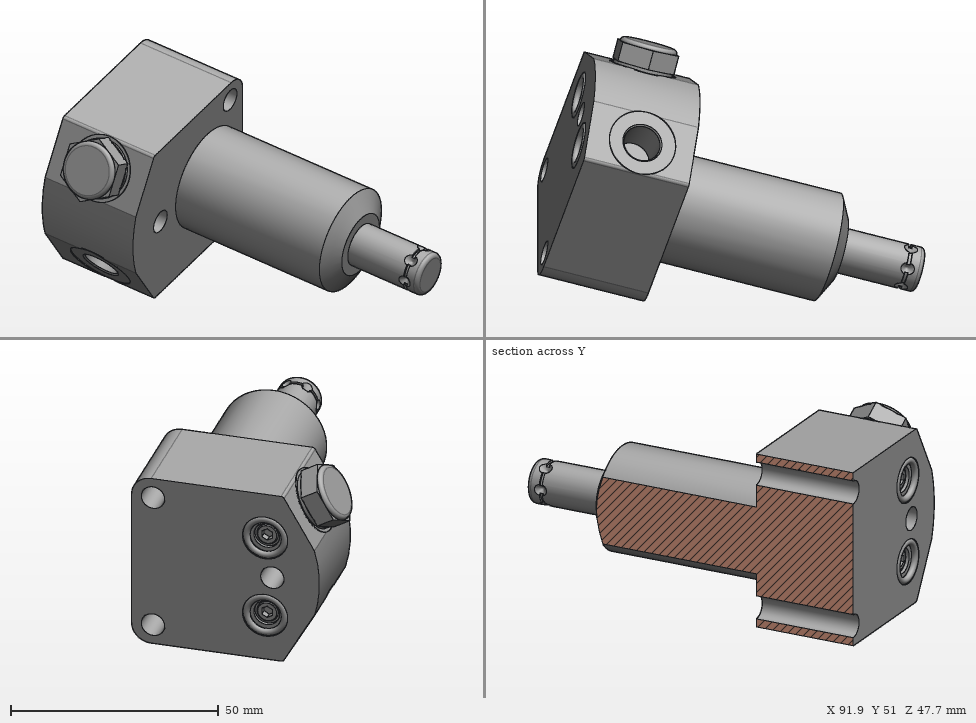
import cadquery as cq
import math


BLOCK_LENGTH = 26.5
BLOCK_HALF_HEIGHT = 22.5
BLOCK_BACK_Y = 15.5
NOSE_RADIUS = 31.8
SLANT_ANGLE = 30.0
SLANT_DISTANCE = 30.9
CORNER_RADIUS = 5.0
SLANT_EDGE_RADIUS = 0.9

HOLE_RADIUS = 2.9
CORNER_HOLE_Y = 10.1
CORNER_HOLE_Z = 17.4
NOSE_HOLE_Y = -19.9

SEAL_Y = -18.1
SEAL_Z = 10.6
SEAL_POCKET_RADIUS = 5.7
SEAL_POCKET_DEPTH = 1.4
RING_SECTION_RADIUS = 0.87
RING_RADIUS = SEAL_POCKET_RADIUS - RING_SECTION_RADIUS
RING_PROUD = 0.3
SCREW_BORE_RADIUS = 3.2
SCREW_BORE_DEPTH = 0.9
SCREW_RADIUS = 2.7
SCREW_TOP_RADIUS = 2.4
SCREW_HEIGHT = 0.5
SCREW_SOCKET_FLATS = 2.7
SCREW_SOCKET_DEPTH = 1.8

PORT_X = 13.5
SPOT_FACE_RADIUS = 8.3
SPOT_FACE_DEPTH = 0.3
BORE_RADIUS = 4.5
BORE_MOUTH_RADIUS = 4.9
BORE_DEPTH = 10.75

PLUG_NECK_RADIUS = 7.35
PLUG_NECK_HEIGHT = 0.6
PLUG_FLATS = 14.15
PLUG_HEX_TOP = 5.3
PLUG_TOP = 6.4
PLUG_CROWN_RADIUS = PLUG_FLATS / 2
PLUG_CROWN_FILLET = 1.0

BODY_RADIUS = 13.4
BODY_END_X = 68.4
CONE_END_X = 71.3
CONE_END_RADIUS = 8.1
TUBE_RADIUS = 5.5
TUBE_END_X = 91.9 - RING_PROUD
TUBE_FILLET = 1.1

GROOVE_X = 87.8
GROOVE_WIDTH = 0.8
GROOVE_DEPTH = 0.55
DIMPLE_COUNT = 6
DIMPLE_RADIUS = 1.65
DIMPLE_DEPTH = 1.65


def port_plane(side):
    """Plane on a port face, normal outwards; side is +1 for the upper face and -1 for the lower."""
    angle = math.radians(SLANT_ANGLE)
    normal = (0, -math.cos(angle), side * math.sin(angle))
    origin = (PORT_X, SLANT_DISTANCE * normal[1], SLANT_DISTANCE * normal[2])
    return cq.Plane(origin=origin, xDir=(1, 0, 0), normal=normal)


def cylinder_x(radius, start, end, y=0.0, z=0.0):
    return cq.Workplane("YZ", origin=(start, y, z)).circle(radius).extrude(end - start)


def make_block():
    angle = math.radians(SLANT_ANGLE)
    slant_top_y = (BLOCK_HALF_HEIGHT * math.sin(angle) - SLANT_DISTANCE) / math.cos(angle)
    nose_angle = angle - math.acos(SLANT_DISTANCE / NOSE_RADIUS)
    nose_y = -NOSE_RADIUS * math.cos(nose_angle)
    nose_z = NOSE_RADIUS * math.sin(nose_angle)
    block = (
        cq.Workplane("YZ")
        .moveTo(BLOCK_BACK_Y, -BLOCK_HALF_HEIGHT)
        .lineTo(BLOCK_BACK_Y, BLOCK_HALF_HEIGHT)
        .lineTo(slant_top_y, BLOCK_HALF_HEIGHT)
        .lineTo(nose_y, nose_z)
        .threePointArc((-NOSE_RADIUS, 0), (nose_y, -nose_z))
        .lineTo(slant_top_y, -BLOCK_HALF_HEIGHT)
        .close()
        .extrude(BLOCK_LENGTH)
    )
    block = block.edges("|X and >Y").fillet(CORNER_RADIUS)
    for side in (1, -1):
        slant_edge = cq.selectors.NearestToPointSelector(
            (BLOCK_LENGTH / 2, slant_top_y, side * BLOCK_HALF_HEIGHT)
        )
        block = block.edges(slant_edge).fillet(SLANT_EDGE_RADIUS)
    return block


def make_body():
    """Round body, its end cone and the tube with groove, as one turned shape."""
    groove_start = GROOVE_X - GROOVE_WIDTH / 2
    groove_end = GROOVE_X + GROOVE_WIDTH / 2
    groove_radius = TUBE_RADIUS - GROOVE_DEPTH
    profile = [
        (BLOCK_LENGTH, 0),
        (BLOCK_LENGTH, BODY_RADIUS),
        (BODY_END_X, BODY_RADIUS),
        (CONE_END_X, CONE_END_RADIUS),
        (CONE_END_X, TUBE_RADIUS),
        (groove_start, TUBE_RADIUS),
        (groove_start, groove_radius),
        (groove_end, groove_radius),
        (groove_end, TUBE_RADIUS),
        (TUBE_END_X, TUBE_RADIUS),
        (TUBE_END_X, 0),
    ]
    turned = cq.Workplane("XY").polyline(profile).close().revolve(360, (0, 0, 0), (1, 0, 0))
    return turned.faces(">X").edges().fillet(TUBE_FILLET)


def make_dimple(angle):
    """Cone pointing at the tube axis, turned about it by an angle in degrees from -Y."""
    cone = cq.Solid.makeCone(
        DIMPLE_RADIUS,
        0,
        DIMPLE_DEPTH,
        pnt=cq.Vector(GROOVE_X, -TUBE_RADIUS, 0),
        dir=cq.Vector(0, 1, 0),
    )
    return cq.Workplane(cone).rotate((0, 0, 0), (1, 0, 0), angle)


def make_port_bore():
    """Blind bore with a chamfered mouth, sunk from the spot face of the lower port."""
    mouth_depth = SPOT_FACE_DEPTH + BORE_MOUTH_RADIUS - BORE_RADIUS
    floor_depth = SPOT_FACE_DEPTH + BORE_DEPTH
    half_profile = [
        (0, -SPOT_FACE_DEPTH),
        (BORE_MOUTH_RADIUS, -SPOT_FACE_DEPTH),
        (BORE_RADIUS, -mouth_depth),
        (BORE_RADIUS, -floor_depth),
        (0, -floor_depth),
    ]
    face = port_plane(-1)
    profile_plane = cq.Plane(origin=face.origin, xDir=face.xDir, normal=-face.yDir)
    return cq.Workplane(profile_plane).polyline(half_profile).close().revolve(360, (0, 0, 0), (0, 1, 0))


def make_plug():
    face = cq.Workplane(port_plane(1))
    neck = face.workplane(offset=-SPOT_FACE_DEPTH).circle(PLUG_NECK_RADIUS)
    neck = neck.extrude(SPOT_FACE_DEPTH + PLUG_NECK_HEIGHT)
    hexagon = (
        face.workplane(offset=PLUG_NECK_HEIGHT)
        .polygon(6, PLUG_FLATS, circumscribed=True)
        .extrude(PLUG_HEX_TOP - PLUG_NECK_HEIGHT)
    )
    crown = face.workplane(offset=PLUG_HEX_TOP).circle(PLUG_CROWN_RADIUS)
    crown = crown.extrude(PLUG_TOP - PLUG_HEX_TOP)
    crown = crown.edges(cq.selectors.DirectionMinMaxSelector(port_plane(1).zDir)).fillet(PLUG_CROWN_FILLET)
    return neck.union(hexagon).union(crown)


def add_sealed_screw(part, z):
    """Cut the stepped pocket and leave the socket screw and the seal ring in it."""
    bore_floor = SEAL_POCKET_DEPTH + SCREW_BORE_DEPTH
    part = part.cut(cylinder_x(SEAL_POCKET_RADIUS, 0, SEAL_POCKET_DEPTH, SEAL_Y, z))
    part = part.cut(cylinder_x(SCREW_BORE_RADIUS, 0, bore_floor, SEAL_Y, z))
    screw = cylinder_x(SCREW_RADIUS, bore_floor - SCREW_HEIGHT, bore_floor, SEAL_Y, z)
    screw = screw.faces("<X").chamfer(SCREW_RADIUS - SCREW_TOP_RADIUS)
    socket = (
        cq.Workplane("YZ", origin=(bore_floor - SCREW_HEIGHT, SEAL_Y, z))
        .polygon(6, SCREW_SOCKET_FLATS, circumscribed=True)
        .extrude(SCREW_SOCKET_DEPTH)
    )
    ring = cq.Solid.makeTorus(
        RING_RADIUS,
        RING_SECTION_RADIUS,
        pnt=cq.Vector(RING_SECTION_RADIUS - RING_PROUD, SEAL_Y, z),
        dir=cq.Vector(1, 0, 0),
    )
    return part.union(screw).cut(socket).union(cq.Workplane(ring))


result = make_block().union(make_body())

for index in range(DIMPLE_COUNT):
    result = result.cut(make_dimple(index * 360 / DIMPLE_COUNT))

mounting_holes = [
    (CORNER_HOLE_Y, CORNER_HOLE_Z),
    (CORNER_HOLE_Y, -CORNER_HOLE_Z),
    (NOSE_HOLE_Y, 0),
]
for hole_y, hole_z in mounting_holes:
    result = result.cut(cylinder_x(HOLE_RADIUS, 0, BLOCK_LENGTH, hole_y, hole_z))

for side in (1, -1):
    spot_face = cq.Workplane(port_plane(side)).workplane(offset=-SPOT_FACE_DEPTH)
    result = result.cut(spot_face.circle(SPOT_FACE_RADIUS).extrude(2 * SPOT_FACE_DEPTH))

result = result.cut(make_port_bore())
result = result.union(make_plug())

for seal_z in (SEAL_Z, -SEAL_Z):
    result = add_sealed_screw(result, seal_z)